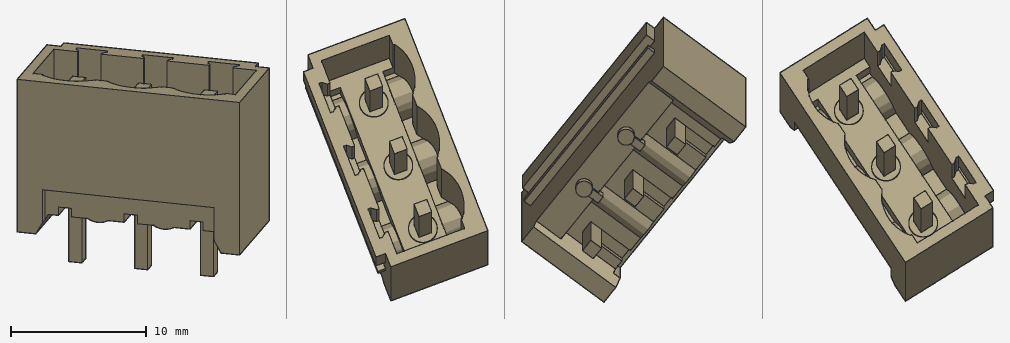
import cadquery as cq
import math

width = 17.14
depth = 7.68
height = 12.02
total_depth = 8.43
total_height = 15.2
wall = 0.77
front_wall = 2 * wall

pole_count = 3
pitch = 5.07
pole_places = [(i - (pole_count - 1) / 2) * pitch for i in range(pole_count)]
middle_places = [(a + b) / 2 for a, b in zip(pole_places, pole_places[1:])]

floor_top = 3.95
cavity_width = width - 2 * wall
cavity_back = depth - wall
scallop_depth = 0.77
scallop_half_width = 2.09
scallop_radius = (scallop_half_width**2 + scallop_depth**2) / (2 * scallop_depth)

pocket_width = 14.05
front_pocket_back = 2.35
back_pocket_front = 5.7
pocket_bottom = 1.97
hump_radius = 1.5
hump_half_width = 1.63
hump_side_angle = 57.0

rail_width = 14.98
rail_height = 3.09
bar_reach = 0.6
bar_top = 6.72
bar_height = 0.69

slot_bottom = 7.82
slot_half_width = 1.18
slot_neck_half_width = 0.9
slot_neck_depth = 0.22
slot_taper_depth = 0.33

foot_half_gap = 7.13
roof_half_gap = 6.36
roof = 1.39
bulge_half_width = 0.79
bulge_drop = 0.22
back_wall_front = 5.38
back_wall_bottom = 0.62
recess_width = 13.2
recess_depth = 0.63
recess_top = 3.53

pin_size = 1.01
pin_y = 3.8
pin_top = 11.05
pin_bottom = height - total_height
pin_groove_top = 2.05
pin_seat_radius = 1.06
pin_seat_depth = 0.17

peg_radius = 0.62
peg_y = 6.51
rib_width = 0.62
rib_front = 4.97
rib_bottom = 0.3


def block(x_size, y_front, y_back, z_low, z_high, x_middle=0.0):
    """Box centred on x_middle, given by its limits along Y and Z."""
    size = (x_size, y_back - y_front, z_high - z_low)
    middle = (x_middle, (y_front + y_back) / 2, (z_low + z_high) / 2)
    return cq.Workplane("XY").box(*size).translate(middle)


def upright_cylinder(x, y, radius, z_low, z_high):
    return cq.Workplane("XY", origin=(x, y, z_low)).circle(radius).extrude(z_high - z_low)


def along_y(profile, y_front, y_back):
    """Extrude a closed XZ profile from y_front to y_back."""
    return profile.extrude(y_front - y_back).translate((0, y_front, 0))


def cavity():
    """Main opening with its floor pockets and the round scallops in the front wall."""
    opening = block(cavity_width, front_wall, cavity_back, floor_top, height)
    pockets = block(pocket_width, front_wall, front_pocket_back, pocket_bottom, height)
    pockets = pockets.union(block(pocket_width, back_pocket_front, cavity_back, pocket_bottom, height))
    scallop_y = front_wall - scallop_depth + scallop_radius
    scallop_zone = block(pocket_width, 0, front_pocket_back, pocket_bottom, height)
    for x in pole_places:
        scallop = upright_cylinder(x, scallop_y, scallop_radius, pocket_bottom, height)
        pockets = pockets.union(scallop.intersect(scallop_zone))
    for x in pole_places:
        pockets = pockets.cut(hump(x))
    return opening.union(pockets)


def hump(x):
    """Rounded ridge along Y whose straight flanks meet the arc tangentially."""
    angle = math.radians(hump_side_angle)
    arc_half_width = hump_radius * math.sin(angle)
    arc_start = pocket_bottom + (hump_half_width - arc_half_width) * math.tan(angle)
    crest = arc_start + hump_radius * (1 - math.cos(angle))
    profile = (
        cq.Workplane("XZ")
        .moveTo(x - hump_half_width, pocket_bottom)
        .lineTo(x - arc_half_width, arc_start)
        .threePointArc((x, crest), (x + arc_half_width, arc_start))
        .lineTo(x + hump_half_width, pocket_bottom)
        .close()
    )
    return along_y(profile, 0, depth)


def dovetail_slot(x):
    neck_back = cavity_back + slot_neck_depth
    taper_back = neck_back + slot_taper_depth
    right_side = [
        (x + slot_neck_half_width, cavity_back),
        (x + slot_neck_half_width, neck_back),
        (x + slot_half_width, taper_back),
        (x + slot_half_width, depth),
    ]
    left_side = [(2 * x - px, py) for px, py in reversed(right_side)]
    slot = cq.Workplane("XY", origin=(0, 0, slot_bottom)).polyline(right_side + left_side).close()
    return slot.extrude(height - slot_bottom)


def underside_gap():
    """Space between the feet; its roof bulges down midway between the poles."""
    profile = cq.Workplane("XZ").moveTo(-foot_half_gap, 0).lineTo(-roof_half_gap, roof)
    for x in middle_places:
        profile = profile.lineTo(x - bulge_half_width, roof)
        profile = profile.threePointArc((x, roof - bulge_drop), (x + bulge_half_width, roof))
    profile = profile.lineTo(roof_half_gap, roof).lineTo(foot_half_gap, 0).close()
    back_wall = block(width, back_wall_front, depth, back_wall_bottom, height)
    return along_y(profile, 0, depth).cut(back_wall)


def pin(x):
    half = pin_size / 2
    return block(pin_size, pin_y - half, pin_y + half, pin_bottom, pin_top, x)


def peg_with_rib(x):
    peg = upright_cylinder(x, peg_y, peg_radius, 0, roof)
    return peg.union(block(rib_width, rib_front, peg_y, rib_bottom, roof, x))


result = block(width, 0, depth, 0, height)
result = result.union(block(rail_width, cavity_back, total_depth, height - rail_height, height))
result = result.union(block(rail_width, cavity_back, depth + bar_reach, bar_top - bar_height, bar_top))

result = result.cut(cavity())
result = result.cut(underside_gap())
result = result.cut(block(recess_width, 0, recess_depth, 0, recess_top))
for x in pole_places:
    result = result.cut(dovetail_slot(x))
    result = result.cut(block(pin_size, 0, pin_y, 0, pin_groove_top, x))
    seat = upright_cylinder(x, pin_y, pin_seat_radius, floor_top - pin_seat_depth, floor_top)
    result = result.cut(seat)

for x in pole_places:
    result = result.union(pin(x))
for x in middle_places:
    result = result.union(peg_with_rib(x))